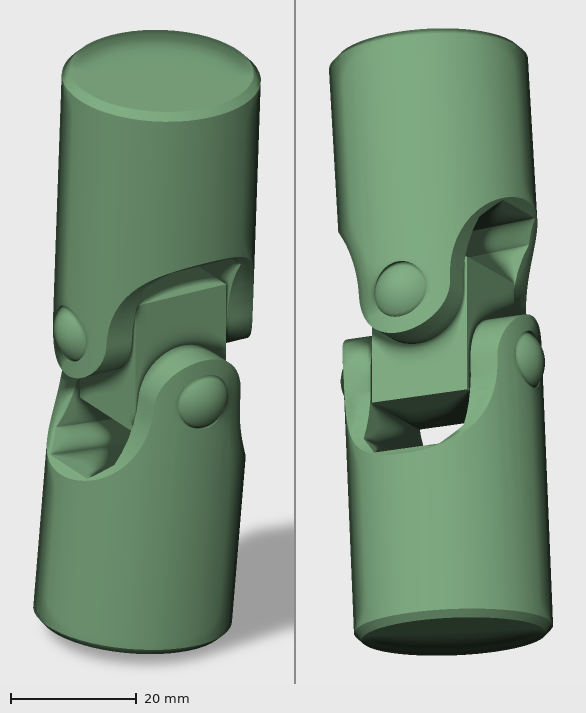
import cadquery as cq
import math


hub_diameter = 31.7
hub_radius = hub_diameter / 2
hub_end_to_pin = 43.0
end_chamfer = 1.2
lower_tilt = 5.2
upper_tilt = 3.5

ear_radius = 8.1
ear_center_drop = 0.9
flank_radius = 18.5

slot_width = 17.7
slot_floor_drop = 14.8
slot_corner_chamfer = 3.1

block_width = 16.9
block_height = 22.0
pin_spacing = 9.6

shank_diameter = 7.0
head_diameter = 9.2
head_seat = 15.2
dome_tip = 17.5


def ear_outline_prism():
    """Fork outline in the YZ plane, extruded through the hub along X."""
    flank_spread = hub_radius - ear_radius
    flank_angle = math.acos(1 - flank_spread / flank_radius)

    def flank_point(angle, side):
        y = ear_radius + flank_radius * (1 - math.cos(angle))
        z = -ear_center_drop - flank_radius * math.sin(angle)
        return (side * y, z)

    right_flank_end = flank_point(flank_angle, 1)
    left_flank_end = flank_point(flank_angle, -1)
    return (
        cq.Workplane("YZ")
        .moveTo(hub_radius, -hub_end_to_pin)
        .lineTo(*right_flank_end)
        .threePointArc(flank_point(flank_angle / 2, 1), (ear_radius, -ear_center_drop))
        .threePointArc((0, ear_radius - ear_center_drop), (-ear_radius, -ear_center_drop))
        .threePointArc(flank_point(flank_angle / 2, -1), left_flank_end)
        .lineTo(-hub_radius, -hub_end_to_pin)
        .close()
        .extrude(hub_radius, both=True)
    )


def make_slot():
    """Slot between the ears, with chamfered floor corners."""
    slot_top = ear_radius
    slot_height = slot_top + slot_floor_drop
    return (
        cq.Workplane("XY", origin=(0, 0, -slot_floor_drop))
        .box(slot_width, hub_diameter, slot_height, centered=(True, True, False))
        .faces("<Z")
        .edges("|Y")
        .chamfer(slot_corner_chamfer)
    )


def make_pin():
    """Pin along X with a domed head at each end."""
    shank_radius = shank_diameter / 2
    head_radius = head_diameter / 2
    dome_height = dome_tip - head_seat
    dome_radius = (head_radius**2 + dome_height**2) / (2 * dome_height)
    dome_center = dome_tip - dome_radius
    dome_mid_angle = math.asin(head_radius / dome_radius) / 2
    dome_mid_x = dome_center + dome_radius * math.cos(dome_mid_angle)
    dome_mid_y = dome_radius * math.sin(dome_mid_angle)
    return (
        cq.Workplane("XY")
        .moveTo(-dome_tip, 0)
        .threePointArc((-dome_mid_x, dome_mid_y), (-head_seat, head_radius))
        .lineTo(-head_seat, shank_radius)
        .lineTo(head_seat, shank_radius)
        .lineTo(head_seat, head_radius)
        .threePointArc((dome_mid_x, dome_mid_y), (dome_tip, 0))
        .close()
        .revolve(360, (0, 0, 0), (1, 0, 0))
    )


def make_head_pockets():
    """Round recesses that seat the pin heads in the ears."""
    pocket_depth = dome_tip - head_seat
    pockets = cq.Workplane("YZ", origin=(head_seat, 0, 0)).circle(head_diameter / 2).extrude(pocket_depth)
    return pockets.union(pockets.mirror("YZ"))


def make_hub():
    """Round hub forked around the pin, with seats for the pin's shank and heads."""
    hub_length = hub_end_to_pin + ear_radius - ear_center_drop
    hub = (
        cq.Workplane("XY", origin=(0, 0, -hub_end_to_pin))
        .circle(hub_radius)
        .extrude(hub_length)
        .faces("<Z")
        .chamfer(end_chamfer)
    )
    pin_hole = cq.Workplane("YZ").circle(shank_diameter / 2).extrude(hub_radius, both=True)
    return hub.intersect(ear_outline_prism()).cut(make_slot()).cut(pin_hole).cut(make_head_pockets())


def place_lower(body):
    """Tilt a body about its pin and set it on the lower pin axis, along X."""
    return body.rotate((0, 0, 0), (1, 0, 0), -lower_tilt).translate((0, 0, -pin_spacing / 2))


def place_upper(body):
    """Turn a body upside down with its pin along Y, tilt it and set it on the upper pin axis."""
    inverted = body.rotate((0, 0, 0), (1, 0, 0), 180).rotate((0, 0, 0), (0, 0, 1), 90)
    return inverted.rotate((0, 0, 0), (0, 1, 0), upper_tilt).translate((0, 0, pin_spacing / 2))


def make_block(pins):
    """Square block bored for both pins."""
    block = cq.Workplane("XY").box(block_width, block_width, block_height)
    for pin in pins:
        block = block.cut(pin)
    return block


hub = make_hub()
lower_hub = place_lower(hub)
upper_hub = place_upper(hub)

pin = make_pin()
lower_pin = place_lower(pin)
upper_pin = place_upper(pin)

block = make_block([lower_pin, upper_pin])

result = cq.Compound.makeCompound(
    [lower_hub.val(), upper_hub.val(), block.val(), lower_pin.val(), upper_pin.val()]
)